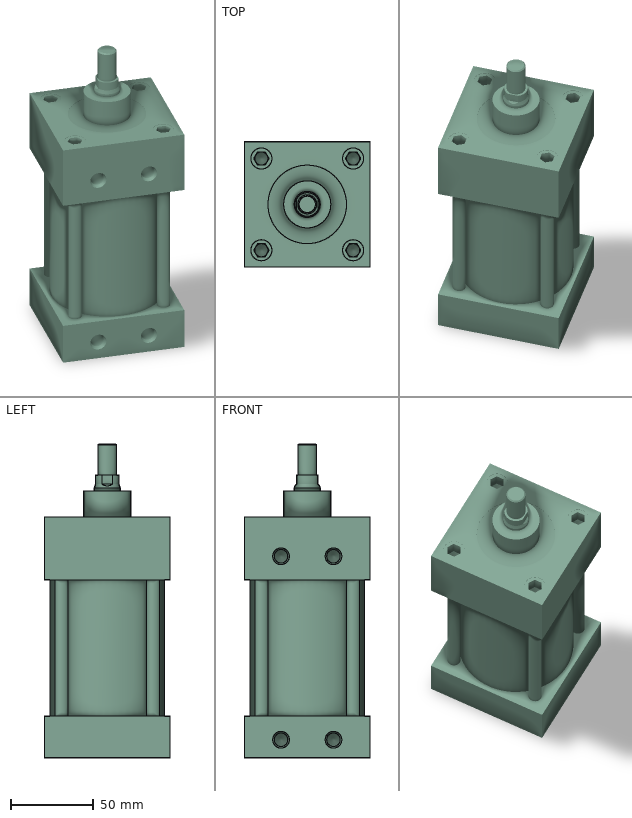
import cadquery as cq
import math

length = 190.5
block_side = 76.2
base_height = 25.3
head_bottom = 108.0
head_top = 146.1
gland_top = 162.0

barrel_diameter = 69.7
gland_diameter = 28.5
retainer_diameter = 47.6
recess_depth = 0.2

tie_rod_spacing = 55.6
tie_rod_diameter = 8.0
screw_head_diameter = 12.8
socket_across_flats = 8.0
socket_depth = 8.0
socket_point_angle = 118.0

port_spacing = 31.8
port_heights = [11.0, 122.3]
port_diameter = 8.2
port_mouth_diameter = 10.1
port_mouth_depth = 2.5
port_depth = 15.2
port_point_angle = 118.0

rod_diameter = 15.8
neck_diameter = 14.3
stud_diameter = 11.5
stud_chamfer = 0.8
rod_shoulder = 163.8
neck_bottom = 166.1
neck_top = 171.5
wrench_flats_width = 12.8


def cylinder(diameter, bottom, top):
    """Upright cylinder on the Z axis."""
    return cq.Workplane("XY").workplane(offset=bottom).circle(diameter / 2).extrude(top - bottom)


def block(bottom, top):
    """Square end block centred on the Z axis."""
    return cq.Workplane("XY").workplane(offset=bottom).rect(block_side, block_side).extrude(top - bottom)


def point_length(diameter, angle):
    """Length of a conical drill point of the given full angle."""
    return diameter / 2 / math.tan(math.radians(angle / 2))


def cone(diameter, angle):
    """Drill point with its base at the origin and its tip pointing along -Z."""
    tip_length = point_length(diameter, angle)
    profile = cq.Workplane("XZ").polyline([(0, 0), (diameter / 2, 0), (0, -tip_length)]).close()
    return profile.revolve(360, (0, 0, 0), (0, 1, 0))


def make_port_cutter():
    """Drilled port with a tapered mouth, its mouth at the origin, pointing along -Z."""
    radius = port_diameter / 2
    mouth_radius = port_mouth_diameter / 2
    tip = -port_depth - point_length(port_diameter, port_point_angle)
    points = [
        (0, 0),
        (mouth_radius, 0),
        (radius, -port_mouth_depth),
        (radius, -port_depth),
        (0, tip),
    ]
    return cq.Workplane("XZ").polyline(points).close().revolve(360, (0, 0, 0), (0, 1, 0))


def make_socket_cutter():
    """Hexagon socket with a conical bottom, corners along X, sunk into a screw head."""
    across_corners = socket_across_flats / math.cos(math.radians(30))
    seat = head_top - recess_depth
    bottom = seat - socket_depth
    hexagon = cq.Workplane("XY").workplane(offset=bottom).polygon(6, across_corners).extrude(socket_depth)
    return hexagon.union(cone(socket_across_flats, socket_point_angle).translate((0, 0, bottom)))


def make_housing():
    housing = block(0, base_height).union(block(head_bottom, head_top))
    housing = housing.union(cylinder(barrel_diameter, base_height, head_bottom))

    housing = housing.cut(cylinder(retainer_diameter, head_top - recess_depth, head_top))
    housing = housing.union(cylinder(gland_diameter, head_top - recess_depth, gland_top))

    tie_rod = cylinder(tie_rod_diameter, base_height, head_bottom)
    screw_recess = cylinder(screw_head_diameter, head_top - recess_depth, head_top)
    socket = make_socket_cutter()
    for x in (-tie_rod_spacing / 2, tie_rod_spacing / 2):
        for y in (-tie_rod_spacing / 2, tie_rod_spacing / 2):
            housing = housing.union(tie_rod.translate((x, y, 0)))
            housing = housing.cut(screw_recess.translate((x, y, 0)))
            housing = housing.cut(socket.translate((x, y, 0)))

    port = make_port_cutter().rotate((0, 0, 0), (1, 0, 0), 90)
    for x in (-port_spacing / 2, port_spacing / 2):
        for z in port_heights:
            housing = housing.cut(port.translate((x, -block_side / 2, z)))
    return housing


def make_flat_cutter():
    """Cuts the wrench flat on the +X side of the neck, running out at 45 degrees at the bottom."""
    inner = wrench_flats_width / 2
    runout = rod_diameter / 2 - inner
    outline = [
        (inner, neck_top),
        (inner, neck_bottom),
        (inner + runout, neck_bottom - runout),
        (inner + runout, neck_top),
    ]
    return cq.Workplane("XZ").polyline(outline).close().extrude(rod_diameter / 2, both=True)


def make_piston_rod():
    outline = [
        (0, gland_top),
        (rod_diameter / 2, gland_top),
        (rod_diameter / 2, rod_shoulder),
        (neck_diameter / 2, neck_bottom),
        (neck_diameter / 2, neck_top),
        (stud_diameter / 2, neck_top),
        (stud_diameter / 2, length - stud_chamfer),
        (stud_diameter / 2 - stud_chamfer, length),
        (0, length),
    ]
    rod = cq.Workplane("XZ").polyline(outline).close().revolve(360, (0, 0, 0), (0, 1, 0))
    flat = make_flat_cutter()
    for angle in (0, 180):
        rod = rod.cut(flat.rotate((0, 0, 0), (0, 0, 1), angle))
    return rod


housing = make_housing()
piston_rod = make_piston_rod()

result = cq.Compound.makeCompound([housing.val(), piston_rod.val()])